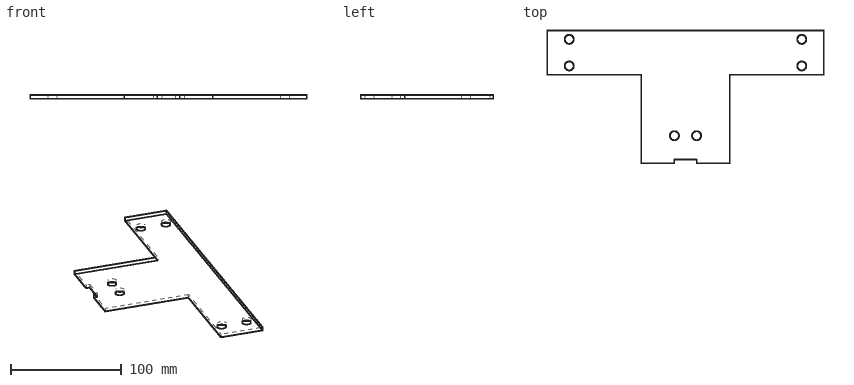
import cadquery as cq

thickness = 3.5
bar_length = 250
bar_width = 40
stem_width = 80
total_depth = 120

notch_width = 20
notch_depth = thickness

hole_diameter = 8.0
bar_hole_end_distance = 20
bar_hole_edge_distance = 8.0
stem_hole_spacing = 20
stem_hole_end_distance = 25


def rectangular_plate(width, depth, y_top):
    """Plate centred on X = 0 that extends toward -Y from y_top."""
    return (
        cq.Workplane("XY")
        .center(0, y_top - depth / 2)
        .rect(width, depth)
        .extrude(thickness)
    )


bar = rectangular_plate(bar_length, bar_width, 0)
stem = rectangular_plate(stem_width, total_depth, 0)
notch = rectangular_plate(notch_width, notch_depth, notch_depth - total_depth)

bar_hole_x = bar_length / 2 - bar_hole_end_distance
bar_hole_rows = (-bar_hole_edge_distance, bar_hole_edge_distance - bar_width)
bar_holes = [(side * bar_hole_x, y) for side in (-1, 1) for y in bar_hole_rows]

stem_hole_y = stem_hole_end_distance - total_depth
stem_holes = [(side * stem_hole_spacing / 2, stem_hole_y) for side in (-1, 1)]

holes = (
    cq.Workplane("XY")
    .pushPoints(bar_holes + stem_holes)
    .circle(hole_diameter / 2)
    .extrude(thickness)
)

result = bar.union(stem).cut(notch).cut(holes).clean()